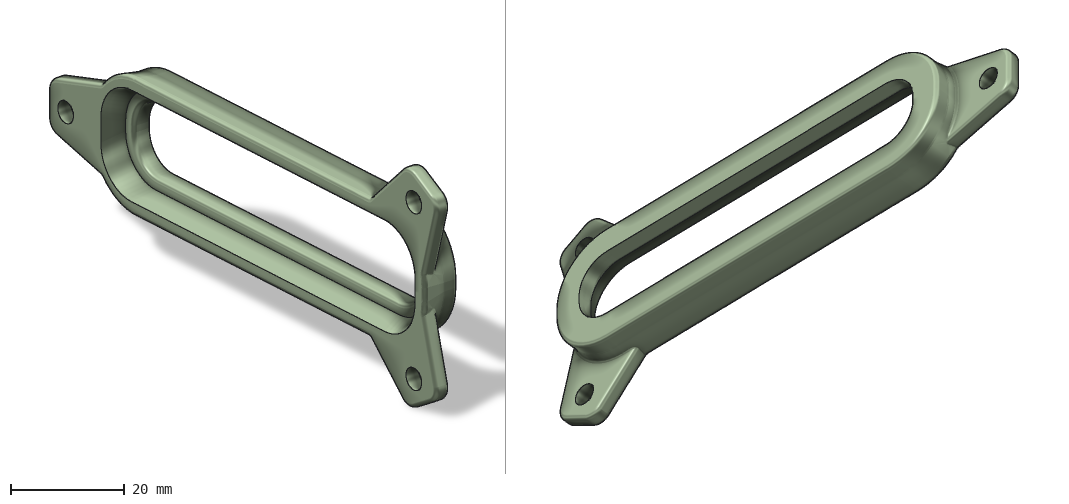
import cadquery as cq
import math


overall_length = 107.2

total_depth = 8.0
shoulder_depth = 4.9
boss_length = 90.8
boss_height = 25.7
body_corner_radius = 12.0
skirt_draft = 0.6
shoulder_blend = 2.1
skirt_length = boss_length + 2 * skirt_draft
skirt_height = boss_height + 2 * skirt_draft

window_length = 79.3
window_height = 14.4
window_corner_radius = 6.5
ledge_width = 2.3
pocket_depth = 4.5
pocket_corner_radius = 8.4
pocket_draft = 1.4
floor_length = window_length + 2 * ledge_width
floor_height = window_height + 2 * ledge_width

arm_thickness = 3.0
arm_half_taper = 15.0
arm_tip_width = 9.9
arm_tip_radius = 3.0
arm_root_length = 13.9
hole_diameter = 4.3
hole_to_tip = 4.9
right_hole_x = 43.0
right_hole_y = 17.1
right_arm_angle = 60

corner_setback = arm_tip_radius * math.tan(math.radians((90 - arm_half_taper) / 2))
corner_along = hole_to_tip - arm_tip_radius
corner_across = arm_tip_width / 2 - corner_setback
corner_x = (
    right_hole_x
    + corner_along * math.cos(math.radians(right_arm_angle))
    + corner_across * math.sin(math.radians(right_arm_angle))
)
left_hole_x = corner_x + arm_tip_radius - overall_length + hole_to_tip

arms = [
    (left_hole_x, 0, 180),
    (right_hole_x, right_hole_y, right_arm_angle),
    (right_hole_x, -right_hole_y, -right_arm_angle),
]

edge_round = 0.8
root_fillet = 0.5
tolerance = 0.01


def rounded_rectangle(length, height, radius):
    return cq.Sketch().rect(length, height).vertices().fillet(radius)


def prism(length, height, radius, depth):
    return cq.Workplane().placeSketch(rounded_rectangle(length, height, radius)).extrude(depth)


def tapered_prism(length, height, radius, depth, draft):
    """Block that shrinks on every side by draft, from the front to the given size at depth."""
    front = rounded_rectangle(length + 2 * draft, height + 2 * draft, radius)
    back = rounded_rectangle(length, height, radius)
    back = back.moved(cq.Location(cq.Vector(0, 0, depth)))
    return cq.Workplane().placeSketch(front, back).loft()


def is_on_shoulder(edge):
    box = edge.BoundingBox()
    return abs(box.zmin - shoulder_depth) < tolerance and box.zlen < tolerance


def is_at_arm_root(edge):
    """True for the edges where an arm's back and sides run into the skirt."""
    top = edge.BoundingBox().zmax
    center = edge.Center()
    within_skirt = abs(center.x) < skirt_length / 2 and abs(center.y) < skirt_height / 2
    return within_skirt and tolerance < top < arm_thickness + tolerance


def make_body():
    skirt = tapered_prism(boss_length, boss_height, body_corner_radius, shoulder_depth, skirt_draft)
    boss = prism(boss_length, boss_height, body_corner_radius, total_depth - shoulder_depth)
    boss = boss.faces(">Z").edges().fillet(edge_round)
    body = skirt.union(boss.translate((0, 0, shoulder_depth)))
    return body.edges().filter(is_on_shoulder).fillet(shoulder_blend)


def make_arm(hole_x, hole_y, direction):
    """Arm narrowing to a rounded tip, with its back edges rounded."""
    tip_half = arm_tip_width / 2
    arm_length = hole_to_tip + arm_root_length
    root_half = tip_half + arm_length * math.tan(math.radians(arm_half_taper))
    outline = [
        (hole_to_tip, -tip_half),
        (hole_to_tip, tip_half),
        (-arm_root_length, root_half),
        (-arm_root_length, -root_half),
    ]
    arm = cq.Workplane().polyline(outline).close().extrude(arm_thickness)
    arm = arm.edges("|Z and >X").fillet(arm_tip_radius)
    arm = arm.faces(">Z").edges("not <X").fillet(edge_round)
    return arm.rotate((0, 0, 0), (0, 0, 1), direction).translate((hole_x, hole_y, 0))


def add_arms(frame):
    for arm in arms:
        frame = frame.union(make_arm(*arm))
    return frame.edges().filter(is_at_arm_root).fillet(root_fillet)


def cut_opening(frame):
    """Drafted pocket from the front, then a round-lipped window through its floor."""
    pocket = tapered_prism(floor_length, floor_height, pocket_corner_radius, pocket_depth, pocket_draft)
    window = prism(window_length, window_height, window_corner_radius, total_depth)
    frame = frame.cut(pocket).cut(window)
    floor = frame.faces(cq.selectors.NearestToPointSelector((0, 0, pocket_depth))).val()
    lip = floor.innerWires()[0].Edges()
    return frame.newObject(lip).fillet(edge_round)


def cut_holes(frame):
    centres = [(hole_x, hole_y) for hole_x, hole_y, _ in arms]
    holes = cq.Workplane().pushPoints(centres).circle(hole_diameter / 2).extrude(arm_thickness)
    return frame.cut(holes)


frame = add_arms(make_body())
frame = frame.faces("<Z").edges().fillet(edge_round)
frame = cut_holes(cut_opening(frame))

result = frame.rotate((0, 0, 0), (1, 0, 0), -90)